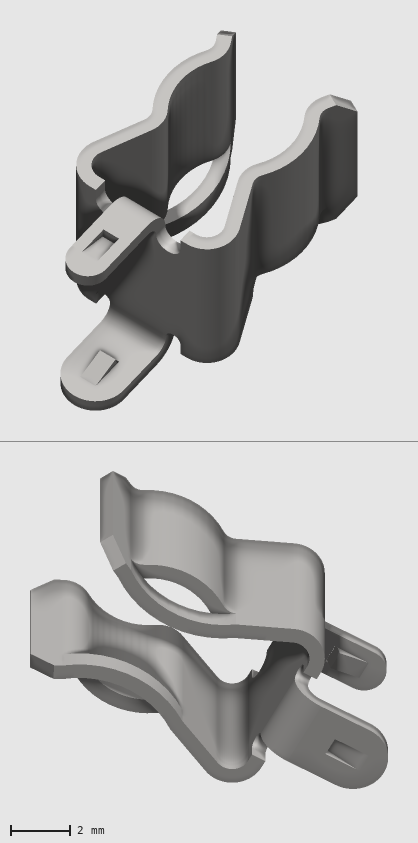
import cadquery as cq
import math


overall_depth = 12.25
overall_width = 6.35
overall_height = 7.26
sheet = 0.51
body_height = overall_height - 2 * sheet
tab_reach = 3.56
lip_tip_y = overall_depth - tab_reach

corner_inner_radius = 0.61
corner_outer_radius = corner_inner_radius + sheet
neck_near_radius = sheet
neck_far_radius = neck_near_radius + sheet
grip_inner_radius = 2.3
grip_outer_radius = grip_inner_radius + sheet
grip_center_y = 5.48
grip_lower_angle = 34.5
grip_upper_angle = 32.0
lip_angle = 27.5
lip_chamfer = 0.8

stop_height = 0.81
stop_gap = 2.24

top_tab_width = 1.52
bottom_tab_width = 2.36
tab_inner_radius = sheet
tab_outer_radius = tab_inner_radius + sheet
notch_outer_x = 1.78

barb_width = 0.65
barb_angle = 16.0
barb_length = 1.15
barb_slot_start_y = -1.51
barb_hinge_y = -2.8


def polar(center, radius, angle):
    """Point at a radius and an angle in degrees around a center."""
    turn = math.radians(angle)
    return (center[0] + radius * math.cos(turn), center[1] + radius * math.sin(turn))


corner_center = (overall_width / 2 - corner_outer_radius, corner_outer_radius)
grip_center = (0.0, grip_center_y)
neck_distance = grip_inner_radius + neck_far_radius
lower_neck_center = polar(grip_center, neck_distance, -grip_lower_angle)
upper_neck_center = polar(grip_center, neck_distance, grip_upper_angle)

leg_dx = lower_neck_center[0] - corner_center[0]
leg_dy = lower_neck_center[1] - corner_center[1]
leg_cross = math.asin((corner_inner_radius + neck_far_radius) / math.hypot(leg_dx, leg_dy))
leg_angle = math.degrees(leg_cross - math.atan2(leg_dx, leg_dy))

lower_in = polar(lower_neck_center, neck_far_radius, 180 + leg_angle)
lower_out = polar(lower_neck_center, neck_near_radius, 180 + leg_angle)
upper_in = polar(upper_neck_center, neck_far_radius, 180 - lip_angle)
upper_out = polar(upper_neck_center, neck_near_radius, 180 - lip_angle)


def leg_section():
    """Half of the base plate, the rounded corner and the straight leg."""
    corner_mid_angle = (leg_angle - 90) / 2
    return (
        cq.Workplane("XY")
        .moveTo(0, 0)
        .lineTo(corner_center[0], 0)
        .threePointArc(
            polar(corner_center, corner_outer_radius, corner_mid_angle),
            polar(corner_center, corner_outer_radius, leg_angle),
        )
        .lineTo(*lower_out)
        .lineTo(*lower_in)
        .lineTo(*polar(corner_center, corner_inner_radius, leg_angle))
        .threePointArc(
            polar(corner_center, corner_inner_radius, corner_mid_angle),
            (corner_center[0], sheet),
        )
        .lineTo(0, sheet)
        .close()
        .extrude(body_height)
    )


def grip_section():
    """Outward-bowed fuse seat with a reverse bend at each end."""
    lower_mid_angle = 180 + (leg_angle - grip_lower_angle) / 2
    upper_mid_angle = 180 + (grip_upper_angle - lip_angle) / 2
    return (
        cq.Workplane("XY")
        .workplane(offset=stop_height)
        .moveTo(*lower_in)
        .threePointArc(
            polar(lower_neck_center, neck_far_radius, lower_mid_angle),
            polar(grip_center, grip_inner_radius, -grip_lower_angle),
        )
        .threePointArc(
            polar(grip_center, grip_inner_radius, 0),
            polar(grip_center, grip_inner_radius, grip_upper_angle),
        )
        .threePointArc(polar(upper_neck_center, neck_far_radius, upper_mid_angle), upper_in)
        .lineTo(*upper_out)
        .threePointArc(
            polar(upper_neck_center, neck_near_radius, upper_mid_angle),
            polar(grip_center, grip_outer_radius, grip_upper_angle),
        )
        .threePointArc(
            polar(grip_center, grip_outer_radius, 0),
            polar(grip_center, grip_outer_radius, -grip_lower_angle),
        )
        .threePointArc(polar(lower_neck_center, neck_near_radius, lower_mid_angle), lower_out)
        .close()
        .extrude(body_height - stop_height)
    )


def stop_section():
    """Inward-bowed strip below the grip section."""
    stop_mid_y = (lower_in[1] + upper_in[1]) / 2
    return (
        cq.Workplane("XY")
        .moveTo(*lower_in)
        .threePointArc((stop_gap / 2, stop_mid_y), upper_in)
        .lineTo(*upper_out)
        .threePointArc((stop_gap / 2 + sheet, stop_mid_y), lower_out)
        .close()
        .extrude(stop_height)
    )


def lip_section():
    """Flared lip with chamfered corners; its plane has Y along +Z."""
    lip_length = (lip_tip_y - upper_in[1]) / math.cos(math.radians(lip_angle))
    lip_direction = 90 - lip_angle
    lip_axis = polar((0, 0), 1, lip_direction)
    face_normal = polar((0, 0), 1, -lip_angle)
    lip_plane = cq.Plane(
        origin=(upper_in[0], upper_in[1], 0),
        xDir=(lip_axis[0], lip_axis[1], 0),
        normal=(face_normal[0], face_normal[1], 0),
    )
    return (
        cq.Workplane(lip_plane)
        .polyline([
            (0, 0),
            (lip_length - lip_chamfer, 0),
            (lip_length, lip_chamfer),
            (lip_length, body_height - lip_chamfer),
            (lip_length - lip_chamfer, body_height),
            (0, body_height),
        ])
        .close()
        .extrude(sheet)
    )


def barb():
    """Full-thickness tongue turned upward about the far end of its slot, for a tab at Z = -sheet to 0."""
    turn = math.radians(barb_angle)
    hinge = (barb_hinge_y, 0)
    root = (barb_hinge_y, -sheet)
    root_mid = polar(hinge, sheet, -90 + barb_angle / 2)
    root_end = polar(hinge, sheet, -90 + barb_angle)
    run = (barb_length * math.cos(turn), barb_length * math.sin(turn))
    return (
        cq.Workplane("YZ")
        .moveTo(*hinge)
        .lineTo(*root)
        .threePointArc(root_mid, root_end)
        .lineTo(root_end[0] + run[0], root_end[1] + run[1])
        .lineTo(hinge[0] + run[0], hinge[1] + run[1])
        .close()
        .extrude(barb_width / 2, both=True)
    )


def bottom_edge_tab(width):
    """Tab bent backward from the lower edge of the base, with a round end and a barb."""
    bend_center = (-tab_inner_radius, tab_inner_radius)
    round_center_y = width / 2 - tab_reach
    strip = (
        cq.Workplane("YZ")
        .moveTo(0, tab_inner_radius)
        .threePointArc(polar(bend_center, tab_inner_radius, -45), (bend_center[0], 0))
        .lineTo(round_center_y, 0)
        .lineTo(round_center_y, -sheet)
        .lineTo(bend_center[0], -sheet)
        .threePointArc(polar(bend_center, tab_outer_radius, -45), (sheet, tab_inner_radius))
        .close()
        .extrude(width / 2, both=True)
    )
    round_end = cq.Workplane("XY").center(0, round_center_y).circle(width / 2).extrude(-sheet)
    slot_length = barb_slot_start_y - barb_hinge_y
    slot = (
        cq.Workplane("XY")
        .center(0, barb_hinge_y + slot_length / 2)
        .rect(barb_width, slot_length)
        .extrude(-sheet)
    )
    return strip.union(round_end).cut(slot).union(barb())


def bottom_edge_relief(tab_width):
    """Opening in the base for the tab, with a round-ended notch on either side of it."""
    notch_width = notch_outer_x - tab_width / 2
    opening = cq.Workplane("XY").box(
        2 * notch_outer_x, sheet, tab_inner_radius, centered=(True, False, False)
    )
    notch_ends = (
        cq.Workplane("XZ")
        .pushPoints([
            (side * (tab_width + notch_width) / 2, tab_inner_radius) for side in (-1, 1)
        ])
        .circle(notch_width / 2)
        .extrude(-sheet)
    )
    return opening.union(notch_ends)


def to_top_edge(shape):
    """Flip a lower-edge feature to the upper edge of the body."""
    return shape.mirror("XY").translate((0, 0, body_height))


half_clip = leg_section().union(grip_section()).union(stop_section()).union(lip_section())
result = half_clip.union(half_clip.mirror("YZ"))

result = result.cut(bottom_edge_relief(bottom_tab_width))
result = result.cut(to_top_edge(bottom_edge_relief(top_tab_width)))
result = result.union(bottom_edge_tab(bottom_tab_width))
result = result.union(to_top_edge(bottom_edge_tab(top_tab_width)))